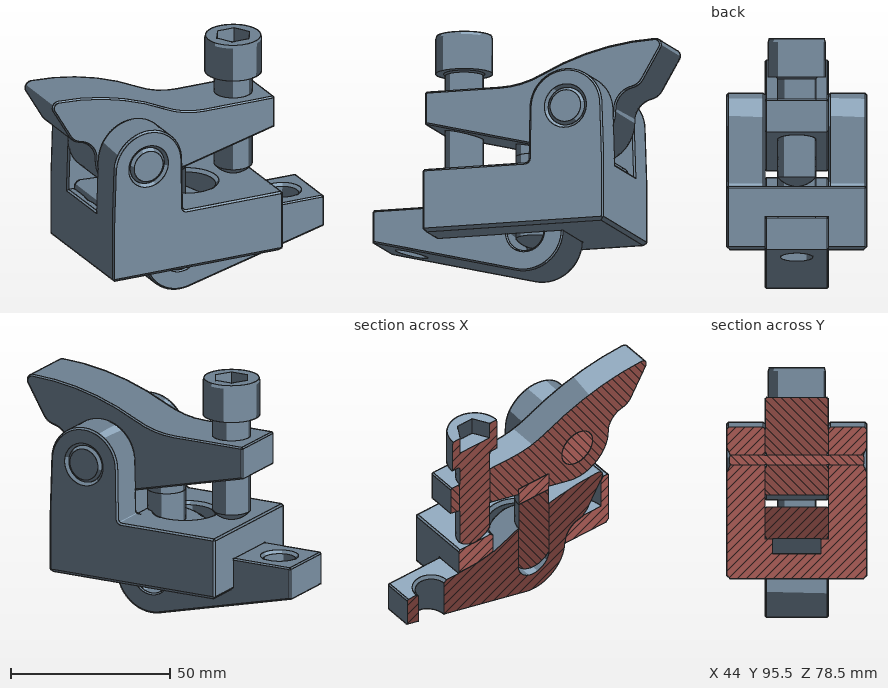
import cadquery as cq
import math


housing_width = 44.0
lever_width = 20.0
side_plate_width = (housing_width - lever_width) / 2
housing_back_y = 47.4
housing_front_y = -12.5
base_height = 20.0
pivot_height = 37.3
cheek_radius = 11.9
cheek_foot_y = 12.2
cheek_foot_fillet = 1.3
bottom_chamfer = 1.05
housing_edge_chamfer = 0.6
counterbore_diameter = 19.0
counterbore_depth = 12.0
counterbore_chamfer = 1.05
counterbore_places = (0.0, 24.1)

lever_end_y = 50.5
lever_top_z = 10.0
lever_end_bottom_z = -0.3
hub_radius = 12.5
lever_edge_chamfer = 0.5
dip_start = (25.8, lever_top_z)
dip_end = (12.0, 13.3)
tip_top = (-25.5, 22.3)
tip_bottom = (-27.2, 19.0)
tail_bottom = (-21.6, 9.5)
tail_inner = (-18.05, 7.0)
lower_lever_y = 17.4
lower_lever_z = 0.4

pin_diameter = 12.0
pin_chamfer = 1.0
bore_chamfer = 1.0
lever_bore_chamfer = 0.5

screw_y = 40.9
screw_diameter = 12.0
head_diameter = 18.0
head_height = 12.0
head_top_z = 66.4
head_rim_inset = 0.3
head_rim_height = 1.05
neck_diameter = 13.0
neck_height = 0.6
tip_height = 3.0
hex_across_flats = 10.1
hex_depth = 6.0
tapping_diameter = 10.1

rod_tip_z = -3.0
rod_top_z = 26.3
stud_top_z = 32.5


def cylinder_z(diameter, y, bottom_z, top_z):
    """Upright cylinder on the middle plane."""
    return cq.Workplane("XY", origin=(0, y, bottom_z)).circle(diameter / 2).extrude(top_z - bottom_z)


def cylinder_x(diameter, length):
    """Cylinder along X, centred on the middle plane."""
    return cq.Workplane("YZ").circle(diameter / 2).extrude(length / 2, both=True)


def flared_bore_x(diameter, length, flare):
    """Cutter along X that widens at both ends by `flare`."""
    radius = diameter / 2
    half = length / 2
    profile = [
        (-half, 0), (-half, radius + flare), (-half + flare, radius),
        (half - flare, radius), (half, radius + flare), (half, 0),
    ]
    return cq.Workplane("XY").polyline(profile).close().revolve(360, (0, 0), (1, 0))


def revolve_z(profile):
    """Closed (radius, Z) sketch on the XZ plane turned about Z."""
    return profile.close().revolve(360, (0, 0), (0, 1))


def lever_blank():
    """Plain lever: clamping arm, round hub and curved tail.

    The arm's lower face is the tangent from its end point to the hub circle.
    """
    end_distance = math.hypot(lever_end_y, lever_end_bottom_z)
    end_angle = math.atan2(lever_end_bottom_z, lever_end_y)
    tangent_angle = end_angle - math.acos(hub_radius / end_distance)
    hub_tangent = (hub_radius * math.cos(tangent_angle), hub_radius * math.sin(tangent_angle))
    hub_middle_angle = (tangent_angle - math.pi) / 2
    hub_middle = (hub_radius * math.cos(hub_middle_angle), hub_radius * math.sin(hub_middle_angle))
    return (
        cq.Workplane("YZ")
        .moveTo(lever_end_y, lever_top_z - lever_edge_chamfer)
        .lineTo(lever_end_y - lever_edge_chamfer, lever_top_z)
        .lineTo(*dip_start)
        .tangentArcPoint(dip_end, relative=False)
        .tangentArcPoint(tip_top, relative=False)
        .tangentArcPoint(tip_bottom, relative=False)
        .lineTo(*tail_bottom)
        .tangentArcPoint(tail_inner, relative=False)
        .tangentArcPoint((-hub_radius, 0), relative=False)
        .threePointArc(hub_middle, hub_tangent)
        .lineTo(lever_end_y, lever_end_bottom_z)
        .close()
        .extrude(lever_width / 2, both=True)
    )


def make_lever():
    """Lever with broken side edges and its pivot bore."""
    lever = lever_blank().faces("<X or >X").edges().chamfer(lever_edge_chamfer)
    return lever.cut(flared_bore_x(pin_diameter, lever_width, lever_bore_chamfer))


def tapped_hole():
    """Cutter for the screw hole through the arm, countersunk at the top face."""
    radius = tapping_diameter / 2
    rim = screw_diameter / 2
    profile = (
        cq.Workplane("XZ")
        .moveTo(0, -hub_radius)
        .lineTo(radius, -hub_radius)
        .lineTo(radius, lever_top_z - (rim - radius))
        .lineTo(rim, lever_top_z)
        .lineTo(0, lever_top_z)
    )
    return revolve_z(profile).translate((0, screw_y, 0))


def counterbore(y):
    """Cutter for a blind, chamfered hole in the top of the base."""
    radius = counterbore_diameter / 2
    profile = (
        cq.Workplane("XZ")
        .moveTo(0, base_height - counterbore_depth)
        .lineTo(radius, base_height - counterbore_depth)
        .lineTo(radius, base_height - counterbore_chamfer)
        .lineTo(radius + counterbore_chamfer, base_height)
        .lineTo(0, base_height)
    )
    return revolve_z(profile).translate((0, y, 0))


def at_upper_place(body):
    """Move a body drawn about the pivot bore onto the cheeks' pivot axis."""
    return body.translate((0, 0, pivot_height))


def at_lower_place(body):
    """Move a body drawn about the pivot bore to the lower lever's place, partly sunk in the base."""
    return body.translate((0, lower_lever_y, lower_lever_z))


def domed_tip(tip_z):
    """Open profile from the axis up the spherical tip to the shank radius."""
    radius = screw_diameter / 2
    dome_radius = (radius**2 + tip_height**2) / (2 * tip_height)
    middle_x = radius / 2
    middle_z = tip_z + dome_radius - math.sqrt(dome_radius**2 - middle_x**2)
    return (
        cq.Workplane("XZ")
        .moveTo(0, tip_z)
        .threePointArc((middle_x, middle_z), (radius, tip_z + tip_height))
    )


def thrust_rod():
    """Rod with a domed lower end that reaches into the pivot bore of the lower lever."""
    profile = domed_tip(rod_tip_z).lineTo(screw_diameter / 2, rod_top_z).lineTo(0, rod_top_z)
    return revolve_z(profile).translate((0, lower_lever_y, 0))


def cap_screw():
    """Hexagon socket screw whose domed tip rests on the housing."""
    head_radius = head_diameter / 2
    head_bottom_z = head_top_z - head_height
    profile = (
        domed_tip(base_height)
        .lineTo(screw_diameter / 2, head_bottom_z - neck_height)
        .lineTo(neck_diameter / 2, head_bottom_z)
        .lineTo(head_radius, head_bottom_z)
        .lineTo(head_radius, head_top_z - head_rim_height)
        .lineTo(head_radius - head_rim_inset, head_top_z)
        .lineTo(0, head_top_z)
    )
    hex_across_corners = hex_across_flats / math.cos(math.pi / 6)
    socket = (
        cq.Workplane("XY", origin=(0, 0, head_top_z))
        .transformed(rotate=(0, 0, 90))
        .polygon(6, hex_across_corners)
        .extrude(-hex_depth)
    )
    return revolve_z(profile).cut(socket).translate((0, screw_y, 0))


def side_plate():
    """One side of the housing: base flank and cheek in one piece, with all side edges broken."""
    plate = (
        cq.Workplane("YZ")
        .moveTo(housing_back_y, 0)
        .lineTo(housing_back_y, base_height)
        .lineTo(cheek_foot_y, base_height)
        .lineTo(cheek_radius, pivot_height)
        .threePointArc((0, pivot_height + cheek_radius), (-cheek_radius, pivot_height))
        .lineTo(housing_front_y, base_height)
        .lineTo(housing_front_y, 0)
        .close()
        .extrude(side_plate_width)
    )
    foot = cq.selectors.NearestToPointSelector((side_plate_width / 2, cheek_foot_y, base_height))
    plate = plate.edges("|X").edges(foot).fillet(cheek_foot_fillet)
    back_edge = plate.edges("|X and >Y and (not <Z)")
    plate = plate.faces("|X").edges().add(back_edge).chamfer(housing_edge_chamfer)
    return plate.translate((lever_width / 2, 0, 0))


def base_block(width, height):
    """Block with the footprint length of the housing."""
    length = housing_back_y - housing_front_y
    middle_y = (housing_back_y + housing_front_y) / 2
    return cq.Workplane("XY").box(width, length, height).translate((0, middle_y, height / 2))


def make_housing():
    """Two side plates joined by a floor, with the underside chamfered all round."""
    right_plate = side_plate()
    left_plate = right_plate.mirror("YZ")
    floor = base_block(lever_width + 2 * housing_edge_chamfer, base_height)
    floor = floor.edges("|X and >Z").chamfer(housing_edge_chamfer)
    envelope = base_block(housing_width, pivot_height + cheek_radius)
    envelope = envelope.faces("<Z").edges().chamfer(bottom_chamfer)
    return right_plate.union(left_plate).union(floor).intersect(envelope)


rod = thrust_rod()
screw = cap_screw()
stud = cylinder_z(screw_diameter, lower_lever_y, rod_top_z, stud_top_z)
pin = at_upper_place(cylinder_x(pin_diameter, housing_width).faces("|X").chamfer(pin_chamfer))

rod_bore = cylinder_z(screw_diameter, lower_lever_y, 0, stud_top_z)
screw_bore = cylinder_z(screw_diameter, screw_y, base_height, head_top_z)

upper_lever = at_upper_place(make_lever()).cut(screw_bore).cut(rod_bore)
lower_lever = at_lower_place(make_lever().cut(tapped_hole())).cut(rod_bore)
housing = make_housing()
for place in counterbore_places:
    housing = housing.cut(counterbore(place))
pin_bore = at_upper_place(flared_bore_x(pin_diameter, housing_width, bore_chamfer))
lever_recess = at_lower_place(lever_blank())
housing = housing.cut(pin_bore).cut(lever_recess).cut(rod_bore)

result = cq.Compound.makeCompound(
    [
        housing.val(),
        upper_lever.val(),
        lower_lever.val(),
        pin.val(),
        screw.val(),
        rod.val(),
        stud.val(),
    ]
)